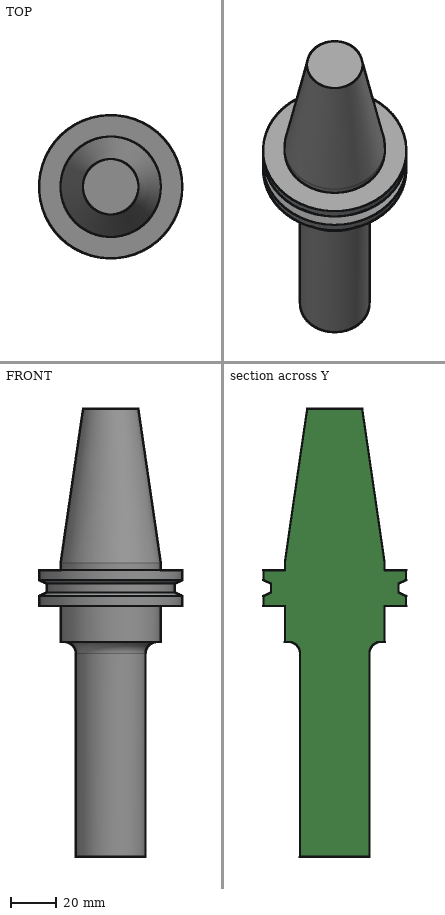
import cadquery as cq
import math


gauge_diameter = 44.45
taper_length = 68.25
taper_per_length = 7 / 24

flange_diameter = 63.5
flange_gap = 3.175
flange_thickness = 15.875
groove_depth_from_gauge = 11.1
groove_root_diameter = 56.8
groove_opening = 7.0
groove_root_width = 3.8

body_length = 35.0
shank_diameter = 31.0
projection = 130.0
shank_fillet_radius = 5.0


def make_holder():
    """Revolve the half outline into the body, shank, flange and taper."""
    gauge_radius = gauge_diameter / 2
    taper_end_radius = (gauge_diameter - taper_length * taper_per_length) / 2
    flange_radius = flange_diameter / 2
    shank_radius = shank_diameter / 2
    flange_top = -flange_gap
    flange_bottom = flange_top - flange_thickness
    fillet_bottom = -body_length - shank_fillet_radius
    fillet_outer_radius = shank_radius + shank_fillet_radius
    fillet_mid_offset = shank_fillet_radius * math.sqrt(0.5)
    fillet_mid = (
        fillet_outer_radius - fillet_mid_offset,
        fillet_bottom + fillet_mid_offset,
    )

    outline = (
        cq.Workplane("XZ")
        .moveTo(0, -projection)
        .lineTo(shank_radius, -projection)
        .lineTo(shank_radius, fillet_bottom)
        .threePointArc(fillet_mid, (fillet_outer_radius, -body_length))
        .lineTo(gauge_radius, -body_length)
        .lineTo(gauge_radius, flange_bottom)
        .lineTo(flange_radius, flange_bottom)
        .lineTo(flange_radius, flange_top)
        .lineTo(gauge_radius, flange_top)
        .lineTo(gauge_radius, 0)
        .lineTo(taper_end_radius, taper_length)
        .lineTo(0, taper_length)
        .close()
    )
    return outline.revolve(360, (0, 0, 0), (0, 1, 0))


def make_groove():
    """Return the ring of material removed by the V-groove."""
    rim_radius = flange_diameter / 2
    root_radius = groove_root_diameter / 2
    half_opening = groove_opening / 2
    half_root = groove_root_width / 2
    middle = -groove_depth_from_gauge

    section = cq.Workplane("XZ").polyline([
        (rim_radius, middle + half_opening),
        (root_radius, middle + half_root),
        (root_radius, middle - half_root),
        (rim_radius, middle - half_opening),
    ]).close()
    return section.revolve(360, (0, 0, 0), (0, 1, 0))


result = make_holder().cut(make_groove())